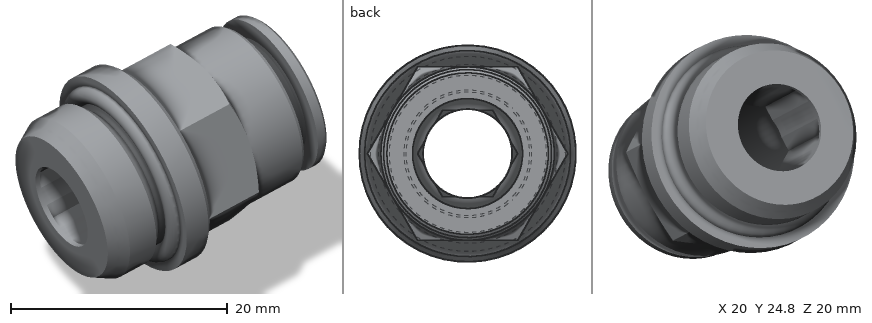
import cadquery as cq
import math


thread_diameter = 16.5
groove_diameter = 14.5
tip_chamfer_length = 1.8
thread_end_y = 4.8
thread_depth = (thread_diameter - groove_diameter) / 2
groove_start_y = thread_end_y + thread_depth

collar_diameter = 20.0
collar_start_y = 7.0
collar_end_y = 10.0
collar_chamfer = 0.5
seal_section_diameter = 1.75

hex_across_flats = 16.0
hex_end_y = 16.5
hex_chamfer_angle = 30.0

body_diameter = hex_across_flats
body_top_diameter = 15.5
body_chamfer_start_y = 21.65
body_end_y = 22.0

neck_diameter = 11.4
neck_start_y = 22.2
flange_diameter = 15.5
flange_start_y = 23.6
flange_chamfer = 0.3
neck_flare = 0.2
total_length = 24.8

bore_diameter = 8.2
socket_diameter = 10.15
socket_floor_y = collar_end_y
key_across_flats = 8.0
key_start_y = 0.5


def corner_radius(across_flats):
    return across_flats / math.sqrt(3)


def revolve_outline(points):
    """Turn a closed (radius, y) outline about the Y axis."""
    return cq.Workplane("XY").polyline(points).close().revolve(360, (0, 0, 0), (0, 1, 0))


def cylinder(diameter, start_y, end_y):
    radius = diameter / 2
    return revolve_outline([(0, start_y), (radius, start_y), (radius, end_y), (0, end_y)])


def hex_prism(across_flats, start_y, end_y):
    """Hexagon along Y with two corners on the X axis."""
    plane = cq.Plane(origin=(0, start_y, 0), xDir=(1, 0, 0), normal=(0, 1, 0))
    return cq.Workplane(plane).polygon(6, 2 * corner_radius(across_flats)).extrude(end_y - start_y)


def make_turned_body():
    thread_radius = thread_diameter / 2
    groove_radius = groove_diameter / 2
    collar_radius = collar_diameter / 2
    body_radius = body_diameter / 2
    neck_radius = neck_diameter / 2
    flange_radius = flange_diameter / 2
    return revolve_outline([
        (0, 0),
        (groove_radius, 0),
        (thread_radius, tip_chamfer_length),
        (thread_radius, thread_end_y),
        (groove_radius, groove_start_y),
        (groove_radius, collar_start_y),
        (collar_radius, collar_start_y),
        (collar_radius, collar_end_y - collar_chamfer),
        (collar_radius - collar_chamfer, collar_end_y),
        (body_radius, collar_end_y),
        (body_radius, body_chamfer_start_y),
        (body_top_diameter / 2, body_end_y),
        (neck_radius, neck_start_y),
        (neck_radius, flange_start_y - neck_flare),
        (neck_radius + neck_flare, flange_start_y),
        (flange_radius, flange_start_y),
        (flange_radius, total_length - flange_chamfer),
        (flange_radius - flange_chamfer, total_length),
        (0, total_length),
    ])


def make_hexagon():
    """Spanner hexagon whose upper corners are cut by a cone starting at the body surface."""
    flat_radius = hex_across_flats / 2
    tip_radius = corner_radius(hex_across_flats)
    cone_drop = (tip_radius - flat_radius) * math.tan(math.radians(hex_chamfer_angle))
    envelope = revolve_outline([
        (0, collar_end_y),
        (tip_radius, collar_end_y),
        (tip_radius, hex_end_y - cone_drop),
        (flat_radius, hex_end_y),
        (0, hex_end_y),
    ])
    return hex_prism(hex_across_flats, collar_end_y, hex_end_y).intersect(envelope)


def make_seal():
    """Round ring resting on the groove floor, half sunk into the collar face."""
    section_radius = seal_section_diameter / 2
    ring_radius = groove_diameter / 2 + section_radius
    center = cq.Vector(0, collar_start_y, 0)
    axis = cq.Vector(0, 1, 0)
    ring = cq.Solid.makeTorus(ring_radius, section_radius, center, axis)
    return cq.Workplane(ring)


def make_cavity():
    """Through bore, key hexagon stopping short of the end face, and tube socket."""
    bore = cylinder(bore_diameter, 0, total_length)
    key = hex_prism(key_across_flats, key_start_y, socket_floor_y)
    socket = cylinder(socket_diameter, socket_floor_y, total_length)
    return bore.union(key).union(socket)


result = make_turned_body().union(make_hexagon()).union(make_seal()).cut(make_cavity())